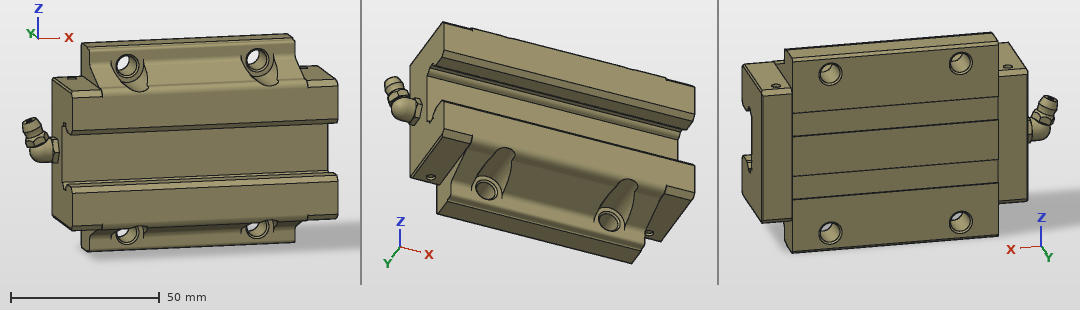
import cadquery as cq
import math


BLOCK_LENGTH = 71.1
CARRIAGE_LENGTH = 92.0

BLOCK_TOP = 30.2
FLANGE_HALF_WIDTH = 35.0
FLANGE_CHAMFER = 1.0
FLANGE_UNDERSIDE = 18.1
STEP_Y = 20.7
STEP_DEPTH = 0.5
LIP_RADIUS = 1.0
BLOCK_HALF_WIDTH = 24.1
BLOCK_CORNER_RADIUS = 2.5
SLOPE_OUTER_Z = 29.05
SLOPE_INNER_Y = 5.0
SLOPE_OUTER_RADIUS = 2.0
SLOPE_INNER_RADIUS = 1.5

GROOVE_INNER_Z = 7.1
GROOVE_OUTER_Z = 15.5
GROOVE_DEPTH = 0.6

CAP_TOP = 29.4
CAP_HALF_WIDTH = 23.9
CAP_TOP_CHAMFER = 1.6
CAP_RAIL_CHAMFER = 2.0
CAP_EDGE_SETBACK = 0.4
CAP_EDGE_WIDTH = 0.8
CAP_HOLE_DIAMETER = 3.0
CAP_HOLE_DEPTH = 1.0
CAP_HOLE_X = 40.0
CAP_HOLE_Y = 24.8

CHANNEL_FLOOR = 14.3
CHANNEL_FLOOR_HALF_WIDTH = 9.5
CHANNEL_THROAT_HALF_WIDTH = 8.9
CHANNEL_MOUTH_HALF_WIDTH = 10.7
CHANNEL_MOUTH_DEPTH = 1.75
RECESS_HALF_WIDTH = 11.4
RECESS_LOW_Y = 9.5
RECESS_HIGH_Y = 12.2
JAW_END_Y = 7.2
LOWER_RIDGE_START = (7.5, 9.45)
LOWER_RIDGE_MID = (8.85, 10.0)
LOWER_RIDGE_END = (9.6, 10.9)
UPPER_RIDGE_START = (12.35, 11.1)
UPPER_RIDGE_MID = (13.05, 10.1)
UPPER_RIDGE_END = (13.95, 9.7)

HOLE_PITCH_X = 45.0
HOLE_PITCH_Z = 57.0
HOLE_DIAMETER = 6.8
HOLE_MOUTH_DIAMETER = 8.0
RELIEF_RADIUS = 5.6

NIPPLE_Y = 22.8
BASE_HEX_FLATS = 8.05
BASE_HEX_LENGTH = 2.0
ELBOW_RADIUS = 4.0
ELBOW_REACH = 5.04
HEAD_TILT = 22.5
HEAD_HEX_FLATS = 7.0
HEAD_HEX_BOTTOM = 3.1
HEAD_HEX_SHOULDER = 4.8
NECK_BOTTOM = 6.2
NECK_TOP = 7.05
HEAD_WIDEST = 8.5
HEAD_TOP = 11.25
NECK_DIAMETER = 6.0
HEAD_DIAMETER = 6.55
TIP_DIAMETER = 4.92
HEAD_BULGE_DIAMETER = 5.9
TIP_HOLE_DIAMETER = 2.0
TIP_HOLE_DEPTH = 0.4
TIP_BALL_DEPTH = 0.05
HEX_CHAMFER_ANGLE = 30.0


def both_sides(solid):
    """The solid together with its mirror image in Z = 0."""
    return solid.union(solid.mirror("XY"))


def along_x(section, length):
    """Extrude a (Y, Z) section symmetrically about X = 0."""
    return section.extrude(length / 2, both=True)


def edge_line(solid, y, z):
    """The lengthwise edge of the solid nearest to (y, z)."""
    return solid.edges("|X").edges(cq.NearestToPointSelector((0, y, z)))



def make_block():
    step_z = FLANGE_HALF_WIDTH - STEP_DEPTH
    arc_offset = STEP_DEPTH / math.sqrt(2)
    outline = (
        cq.Workplane("YZ")
        .polyline([
            (0, 0),
            (BLOCK_TOP, 0),
            (BLOCK_TOP, FLANGE_HALF_WIDTH - FLANGE_CHAMFER),
            (BLOCK_TOP - FLANGE_CHAMFER, FLANGE_HALF_WIDTH),
            (STEP_Y + STEP_DEPTH, FLANGE_HALF_WIDTH),
        ])
        .threePointArc((STEP_Y + arc_offset, FLANGE_HALF_WIDTH - arc_offset), (STEP_Y, step_z))
        .lineTo(FLANGE_UNDERSIDE, step_z)
        .lineTo(FLANGE_UNDERSIDE, SLOPE_OUTER_Z)
        .lineTo(SLOPE_INNER_Y, BLOCK_HALF_WIDTH)
        .lineTo(0, BLOCK_HALF_WIDTH)
        .close()
    )
    half = along_x(outline, BLOCK_LENGTH)
    for y, z, radius in [
        (FLANGE_UNDERSIDE, step_z, LIP_RADIUS),
        (FLANGE_UNDERSIDE, SLOPE_OUTER_Z, SLOPE_OUTER_RADIUS),
        (SLOPE_INNER_Y, BLOCK_HALF_WIDTH, SLOPE_INNER_RADIUS),
        (0, BLOCK_HALF_WIDTH, BLOCK_CORNER_RADIUS),
    ]:
        half = edge_line(half, y, z).fillet(radius)
    groove = cq.Workplane("XY").box(
        BLOCK_LENGTH, GROOVE_DEPTH, GROOVE_OUTER_Z - GROOVE_INNER_Z, centered=(True, False, False)
    ).translate((0, BLOCK_TOP - GROOVE_DEPTH, GROOVE_INNER_Z))
    return both_sides(half.cut(groove))


def make_cap_bar():
    """Bar of end cap section; its two ends stick out of the block."""
    bar = cq.Workplane("XY").box(
        CARRIAGE_LENGTH, CAP_TOP, 2 * CAP_HALF_WIDTH, centered=(True, False, True)
    )
    bar = bar.faces(">Y").edges("|X").chamfer(CAP_TOP_CHAMFER)
    bar = bar.faces("<Y").edges("|X").chamfer(CAP_RAIL_CHAMFER)
    return bar.intersect(make_bevel_envelope())


def make_bevel_envelope():
    """Tapered ends that bevel every end edge except those on the rail side."""
    half_length = CARRIAGE_LENGTH / 2
    plan = [
        (0, 0),
        (half_length, 0),
        (half_length, CAP_HALF_WIDTH - CAP_EDGE_WIDTH),
        (half_length - CAP_EDGE_SETBACK, CAP_HALF_WIDTH),
        (0, CAP_HALF_WIDTH),
    ]
    side = [
        (0, 0),
        (half_length, 0),
        (half_length, CAP_TOP - CAP_EDGE_WIDTH),
        (half_length - CAP_EDGE_SETBACK, CAP_TOP),
        (0, CAP_TOP),
    ]
    in_plan = cq.Workplane("XZ").polyline(plan).close().extrude(-CAP_TOP)
    in_side = cq.Workplane("XY").polyline(side).close().extrude(CAP_HALF_WIDTH)
    quarter = in_plan.intersect(in_side)
    return both_sides(quarter.union(quarter.mirror("YZ")))


def make_channel():
    half = (
        cq.Workplane("YZ")
        .moveTo(0, 0)
        .lineTo(0, CHANNEL_MOUTH_HALF_WIDTH)
        .lineTo(CHANNEL_MOUTH_DEPTH, CHANNEL_THROAT_HALF_WIDTH)
        .lineTo(JAW_END_Y, CHANNEL_THROAT_HALF_WIDTH)
        .lineTo(*LOWER_RIDGE_START)
        .threePointArc(LOWER_RIDGE_MID, LOWER_RIDGE_END)
        .lineTo(RECESS_LOW_Y, RECESS_HALF_WIDTH)
        .lineTo(RECESS_HIGH_Y, RECESS_HALF_WIDTH)
        .lineTo(*UPPER_RIDGE_START)
        .threePointArc(UPPER_RIDGE_MID, UPPER_RIDGE_END)
        .lineTo(CHANNEL_FLOOR, CHANNEL_FLOOR_HALF_WIDTH)
        .lineTo(CHANNEL_FLOOR, 0)
        .close()
    )
    return both_sides(along_x(half, CARRIAGE_LENGTH))


def make_mounting_hole(x):
    """Through hole with both mouths chamfered and the tool relief under the flange."""
    radius = HOLE_DIAMETER / 2
    mouth = HOLE_MOUTH_DIAMETER / 2
    chamfer = mouth - radius
    hole_z = HOLE_PITCH_Z / 2
    hole = (
        cq.Workplane("XY")
        .polyline([
            (0, FLANGE_UNDERSIDE),
            (mouth, FLANGE_UNDERSIDE),
            (radius, FLANGE_UNDERSIDE + chamfer),
            (radius, BLOCK_TOP - chamfer),
            (mouth, BLOCK_TOP),
            (0, BLOCK_TOP),
        ])
        .close()
        .revolve(360, (0, 0), (0, 1))
    )
    relief_round = cq.Workplane("XZ").circle(RELIEF_RADIUS).extrude(-FLANGE_UNDERSIDE)
    relief_open = cq.Workplane("XY").box(
        2 * RELIEF_RADIUS, FLANGE_UNDERSIDE, RELIEF_RADIUS, centered=(True, False, False)
    )
    return hole.union(relief_round).union(relief_open).translate((x, 0, hole_z))


def make_cap_hole(x):
    return (
        cq.Workplane("XY", origin=(x, CAP_HOLE_Y, CAP_HALF_WIDTH))
        .circle(CAP_HOLE_DIAMETER / 2)
        .extrude(-CAP_HOLE_DEPTH)
    )


def make_carriage():
    block_span = cq.Workplane("XY").box(BLOCK_LENGTH, 2 * BLOCK_TOP, 2 * FLANGE_HALF_WIDTH)
    end_caps = make_cap_bar().cut(block_span)
    body = make_block().union(end_caps).cut(make_channel())
    for side in (-1, 1):
        body = body.cut(both_sides(make_mounting_hole(side * HOLE_PITCH_X / 2)))
        body = body.cut(both_sides(make_cap_hole(side * CAP_HOLE_X)))
    return body



def hex_circumradius(across_flats):
    return across_flats / math.sqrt(3)


def make_elbow():
    """Chamfered hexagon and round stem along X, ending in a ball at the origin."""
    corner = hex_circumradius(BASE_HEX_FLATS)
    hex_front = ELBOW_REACH - BASE_HEX_LENGTH
    chamfer = (corner - ELBOW_RADIUS) * math.tan(math.radians(HEX_CHAMFER_ANGLE))
    hexagon = (
        cq.Workplane("YZ", origin=(hex_front, 0, 0))
        .polygon(6, 2 * corner)
        .extrude(BASE_HEX_LENGTH)
    )
    chamfer_envelope = (
        cq.Workplane("XY")
        .polyline([
            (hex_front, 0),
            (hex_front, ELBOW_RADIUS),
            (hex_front + chamfer, corner),
            (ELBOW_REACH, corner),
            (ELBOW_REACH, 0),
        ])
        .close()
        .revolve(360, (0, 0), (1, 0))
    )
    stem = (
        cq.Workplane("XY")
        .moveTo(-ELBOW_RADIUS, 0)
        .radiusArc((0, ELBOW_RADIUS), ELBOW_RADIUS)
        .lineTo(hex_front, ELBOW_RADIUS)
        .lineTo(hex_front, 0)
        .close()
        .revolve(360, (0, 0), (1, 0))
    )
    return stem.union(hexagon.intersect(chamfer_envelope))


def make_head():
    """Hexagon, neck and rounded tip on the Z axis, with the elbow centre at the origin."""
    corner = hex_circumradius(HEAD_HEX_FLATS)
    neck = NECK_DIAMETER / 2
    tip_hole = TIP_HOLE_DIAMETER / 2
    hexagon = (
        cq.Workplane("XY", origin=(0, 0, HEAD_HEX_BOTTOM))
        .polygon(6, 2 * corner)
        .extrude(NECK_BOTTOM - HEAD_HEX_BOTTOM)
    )
    hex_envelope = (
        cq.Workplane("XZ")
        .polyline([
            (0, HEAD_HEX_BOTTOM),
            (corner, HEAD_HEX_BOTTOM),
            (corner, HEAD_HEX_SHOULDER),
            (neck, NECK_BOTTOM),
            (0, NECK_BOTTOM),
        ])
        .close()
        .revolve(360, (0, 0), (0, 1))
    )
    ball_chord_drop = TIP_HOLE_DEPTH - TIP_BALL_DEPTH
    ball_radius = (tip_hole ** 2 + ball_chord_drop ** 2) / (2 * ball_chord_drop)
    ball_mid = (
        tip_hole / 2,
        HEAD_TOP - TIP_BALL_DEPTH - ball_radius + math.sqrt(ball_radius ** 2 - (tip_hole / 2) ** 2),
    )
    tip = (
        cq.Workplane("XZ")
        .moveTo(0, 0)
        .lineTo(neck, 0)
        .lineTo(neck, NECK_TOP)
        .lineTo(HEAD_DIAMETER / 2, HEAD_WIDEST)
        .threePointArc(
            (HEAD_BULGE_DIAMETER / 2, (HEAD_WIDEST + HEAD_TOP) / 2),
            (TIP_DIAMETER / 2, HEAD_TOP),
        )
        .lineTo(tip_hole, HEAD_TOP)
        .lineTo(tip_hole, HEAD_TOP - TIP_HOLE_DEPTH)
        .threePointArc(ball_mid, (0, HEAD_TOP - TIP_BALL_DEPTH))
        .close()
        .revolve(360, (0, 0), (0, 1))
    )
    return tip.union(hexagon.intersect(hex_envelope))


def make_grease_nipple():
    head = make_head().rotate((0, 0, 0), (0, 1, 0), -HEAD_TILT)
    nipple = make_elbow().union(head)
    return nipple.translate((-CARRIAGE_LENGTH / 2 - ELBOW_REACH, NIPPLE_Y, 0))


carriage = make_carriage()
grease_nipple = make_grease_nipple()

result = cq.Compound.makeCompound([carriage.val(), grease_nipple.val()])